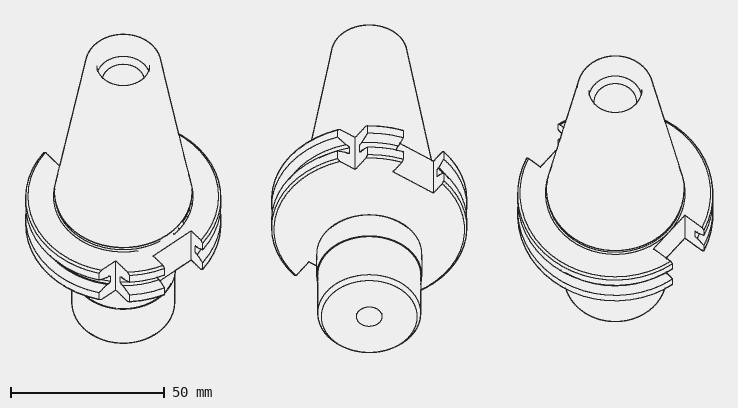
import cadquery as cq
import math

total_height = 130.4
taper_length = 68.5
gauge_height = total_height - taper_length
gauge_to_flange = 3.3
flange_top = gauge_height - gauge_to_flange
flange_bottom = 42.9

gauge_diameter = 44.5
gauge_radius = gauge_diameter / 2
taper_slope = 7 / 24 / 2
taper_tip_radius = gauge_radius - taper_length * taper_slope
tip_rounding = 1.0
taper_overrun = 1.2
taper_foot = gauge_height - taper_overrun
relief_radius = 22.2
relief_step_height = 0.5
relief_fillet = 0.5

flange_diameter = 63.5
flange_radius = flange_diameter / 2
flange_chamfer = 0.8
groove_radius = 28.0
groove_middle = 50.9
groove_floor_width = 3.8
groove_corner_fillet = 0.7
groove_flare_radius = 29.1
groove_flare_angle = 30.0
groove_flare_depth = flange_radius - groove_flare_radius
groove_flare_height = groove_flare_depth * math.tan(math.radians(groove_flare_angle))
groove_half_width = groove_floor_width / 2
groove_half_mouth = groove_half_width + groove_flare_height

neck_radius = 14.1
neck_fillet = 3.1
collar_radius = 17.1
collar_top = 31.4
collar_bottom = 20.3
collar_chamfer = 0.7
body_diameter = 33.5
body_radius = body_diameter / 2
body_chamfer_width = 1.2
body_chamfer_height = 1.5

bore_mouth_rounding = 0.9
counterbore_radius = 8.6
counterbore_depth = 5.6
undercut_radius = 8.7
undercut_flare_depth = 6.7
seat_depth = 7.8
thread_radius = 6.9
thread_depth = 32.0
drill_point_angle = 118.0
through_radius = 4.2
seat_height = undercut_radius - thread_radius
point_height = (thread_radius - through_radius) / math.tan(math.radians(drill_point_angle / 2))

slot_width = 16.0
slot_depth_left = 22.7
slot_depth_right = 24.9
notch_corner = 18.6


def make_body():
    """Revolve the outside of the holder about Z."""
    tip_edge_z = total_height - tip_rounding
    tip_edge_radius = taper_tip_radius + tip_rounding * taper_slope
    foot_radius = gauge_radius + taper_overrun * taper_slope
    profile = (
        cq.Workplane("XZ")
        .moveTo(0, 0)
        .lineTo(body_radius - body_chamfer_width, 0)
        .lineTo(body_radius, body_chamfer_height)
        .lineTo(body_radius, collar_bottom)
        .lineTo(collar_radius, collar_bottom)
        .lineTo(collar_radius, collar_top - collar_chamfer)
        .lineTo(collar_radius - collar_chamfer, collar_top)
        .lineTo(neck_radius, collar_top)
        .lineTo(neck_radius, flange_bottom - neck_fillet)
        .radiusArc((neck_radius + neck_fillet, flange_bottom), neck_fillet)
        .lineTo(flange_radius - flange_chamfer, flange_bottom)
        .lineTo(flange_radius, flange_bottom + flange_chamfer)
        .lineTo(flange_radius, groove_middle - groove_half_mouth)
        .lineTo(groove_flare_radius, groove_middle - groove_half_width)
        .lineTo(groove_radius + groove_corner_fillet, groove_middle - groove_half_width)
        .radiusArc(
            (groove_radius, groove_middle - groove_half_width + groove_corner_fillet), groove_corner_fillet
        )
        .lineTo(groove_radius, groove_middle + groove_half_width - groove_corner_fillet)
        .radiusArc(
            (groove_radius + groove_corner_fillet, groove_middle + groove_half_width), groove_corner_fillet
        )
        .lineTo(groove_flare_radius, groove_middle + groove_half_width)
        .lineTo(flange_radius, groove_middle + groove_half_mouth)
        .lineTo(flange_radius, flange_top - flange_chamfer)
        .lineTo(flange_radius - flange_chamfer, flange_top)
        .lineTo(relief_radius + relief_fillet, flange_top)
        .radiusArc((relief_radius, flange_top + relief_fillet), relief_fillet)
        .lineTo(relief_radius, taper_foot - relief_step_height)
        .lineTo(foot_radius, taper_foot)
        .lineTo(tip_edge_radius, tip_edge_z)
        .radiusArc((tip_edge_radius - tip_rounding, total_height), -tip_rounding)
        .lineTo(0, total_height)
        .close()
    )
    return profile.revolve(360, (0, 0, 0), (0, 1, 0))


def make_bore():
    """Revolve the stepped bore that runs right through along Z."""
    seat_top = total_height - seat_depth
    point_top = total_height - thread_depth
    profile = (
        cq.Workplane("XZ")
        .moveTo(0, 0)
        .lineTo(through_radius, 0)
        .lineTo(through_radius, point_top - point_height)
        .lineTo(thread_radius, point_top)
        .lineTo(thread_radius, seat_top - seat_height)
        .lineTo(undercut_radius, seat_top)
        .lineTo(undercut_radius, total_height - undercut_flare_depth)
        .lineTo(counterbore_radius, total_height - counterbore_depth)
        .lineTo(counterbore_radius, total_height - bore_mouth_rounding)
        .radiusArc((counterbore_radius + bore_mouth_rounding, total_height), bore_mouth_rounding)
        .lineTo(0, total_height)
        .close()
    )
    return profile.revolve(360, (0, 0, 0), (0, 1, 0))


def flange_cutter(x_min, x_max, y_min, y_max):
    """Block over the full flange thickness, for cutting its rim."""
    return (
        cq.Workplane("XY", origin=(0, 0, flange_bottom))
        .moveTo((x_min + x_max) / 2, (y_min + y_max) / 2)
        .rect(x_max - x_min, y_max - y_min)
        .extrude(flange_top - flange_bottom)
    )


left_slot = flange_cutter(-flange_radius, -slot_depth_left, -slot_width / 2, slot_width / 2)
right_slot = flange_cutter(slot_depth_right, flange_radius, -slot_width / 2, slot_width / 2)
notch = flange_cutter(notch_corner, flange_radius, -flange_radius, -notch_corner)

result = make_body().cut(make_bore())
for cutter in (left_slot, right_slot, notch):
    result = result.cut(cutter)